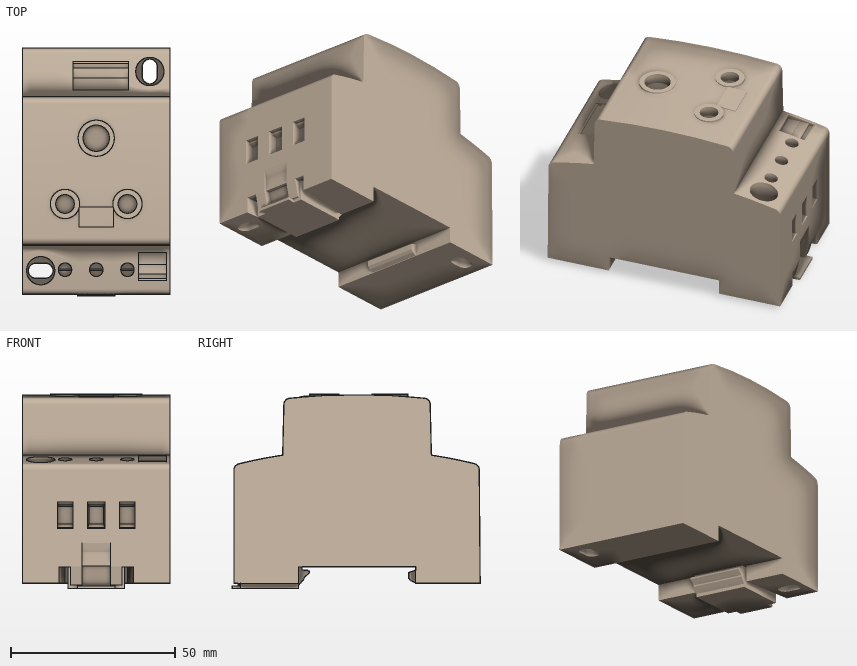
import cadquery as cq
import math

width = 45.0
front_y = -37.5
rear_y = 37.5
rear_draft = 0.3
shoulder_radius = 150.0
shoulder_crest_z = 40.75
cap_half_bottom = 22.66
cap_half_top = 22.25
cap_radius = 210.0
cap_crest_z = 57.35
edge_radius = 2.0

slot_half = 17.8
slot_height = 5.0
rear_hook_reach = 2.1

channel_half_front = 11.3
channel_half_inner = 9.46
clip_half_width = 8.66
clip_bottom = -1.6
clip_front_y = front_y + 2.0
tab_half_width = 5.75
tab_top = -0.75
tab_front_y = -37.98
wedge_half_width = 7.87
wedge_bottom = -0.5
wedge_bottom_setback = 1.35

notch_half_width = 4.4
notch_top = 12.2
notch_back_top = 9.5
notch_back_bottom = 5.3
notch_depth = 0.7
notch_undercut_depth = 2.2
notch_foot_depth = 3.65

ring_top = 57.55
socket_depth = 3.3
large_ring_radius = 5.5
large_socket_radius = 4.0
small_ring_radius = 4.45
small_socket_radius = 2.85
pitch = 9.5
ring_offset_y = 10.0
label_half_width = 5.24
label_rear_y = -10.9
label_front_y = -17.0
label_height = 0.2

screw_y = -30.0
screw_radius = 2.05
screw_head_z = 32.5
screw_slot_width = 0.5
screw_slot_depth = 0.6
window_bottom = 16.75
window_top = 24.75
window_depth = 1.6
funnel_bottom = 17.05
funnel_top = 24.2
funnel_back_bottom = 18.05
funnel_back_top = 23.4
funnel_depth = 1.4
side_window_width = 4.75
side_window_x = 9.4
middle_window_width = 5.2
middle_funnel_back_width = 4.5

mount_y = 30.3
front_mount_x = -16.9
rear_mount_x = 16.3
counterbore_radius = 4.3
counterbore_floor = 5.0
mount_slot_length = 7.5
mount_slot_width = 4.5

pocket_near = 24.7
pocket_step = 28.35
pocket_drop = 31.35
pocket_ledge = 32.7
pocket_far = 33.3
pocket_floor_z = 37.25
pocket_step_z = 37.1
pocket_drop_z = 36.3
pocket_ledge_z = 36.75
front_pocket_x = (12.83, 21.44)
rear_pocket_x = (-7.1, 9.75)

cut_clearance = 5.0
above_all = ring_top + cut_clearance


def arc_height(crest_z, radius, y):
    """Height at y of an arc whose crest is over the middle of the part."""
    return crest_z - radius + math.sqrt(radius**2 - y**2)


def shoulder_z(y):
    return arc_height(shoulder_crest_z, shoulder_radius, y)


def cap_z(y):
    return arc_height(cap_crest_z, cap_radius, y)


def extrude_x(outline, x_min, x_max):
    """Extrude a closed YZ outline between two X planes."""
    return outline.extrude(x_max - x_min).translate((x_min, 0, 0))


def polygon_x(points, x_min, x_max):
    return extrude_x(cq.Workplane("YZ").polyline(points).close(), x_min, x_max)


def box_between(x_range, y_range, z_range):
    size = [high - low for low, high in (x_range, y_range, z_range)]
    corner = (x_range[0], y_range[0], z_range[0])
    return cq.Workplane("XY").box(*size, centered=False).translate(corner)


def cylinder_z(x, y, radius, z_min, z_max):
    disc = cq.Workplane("XY", origin=(x, y, z_min)).circle(radius)
    return disc.extrude(z_max - z_min)


def make_housing():
    """Stepped DIN-rail housing with crowned shoulders and cap."""
    rear_top_y = rear_y - rear_draft
    front_mid_y = (front_y - cap_half_bottom) / 2
    rear_mid_y = (rear_top_y + cap_half_bottom) / 2
    outline = (
        cq.Workplane("YZ")
        .moveTo(front_y, 0)
        .lineTo(front_y, shoulder_z(front_y))
        .threePointArc(
            (front_mid_y, shoulder_z(front_mid_y)),
            (-cap_half_bottom, shoulder_z(cap_half_bottom)),
        )
        .lineTo(-cap_half_top, cap_z(cap_half_top))
        .threePointArc((0, cap_crest_z), (cap_half_top, cap_z(cap_half_top)))
        .lineTo(cap_half_bottom, shoulder_z(cap_half_bottom))
        .threePointArc(
            (rear_mid_y, shoulder_z(rear_mid_y)),
            (rear_top_y, shoulder_z(rear_top_y)),
        )
        .lineTo(rear_y, 0)
        .lineTo(slot_half, 0)
        .lineTo(slot_half, slot_height)
        .lineTo(-slot_half, slot_height)
        .lineTo(-slot_half, 0)
        .close()
    )
    body = extrude_x(outline, -width / 2, width / 2)
    rounded_corners = (
        (front_y, shoulder_z(front_y)),
        (-cap_half_top, cap_z(cap_half_top)),
        (cap_half_top, cap_z(cap_half_top)),
        (rear_top_y, shoulder_z(rear_top_y)),
    )
    for y, z in rounded_corners:
        body = body.edges(cq.NearestToPointSelector((0, y, z))).fillet(edge_radius)
    return body


def make_rear_hook():
    """Fixed rail hook on the rear wall of the slot."""
    tip_y = slot_half - rear_hook_reach
    root_bottom, root_top = 0.15, 4.05
    tip_bottom, tip_top = 1.55, 3.3
    bevel_length, bevel_bottom = 0.75, 0.75
    points = [
        (slot_half, root_bottom),
        (slot_half, root_top),
        (tip_y, tip_top),
        (tip_y, tip_bottom),
        (tip_y + bevel_length, bevel_bottom),
    ]
    return polygon_x(points, -clip_half_width, clip_half_width)


def cut_clip_channel(body):
    """Open the front foot with a channel that narrows toward the rail slot."""
    outline = [
        (-channel_half_front, front_y),
        (channel_half_front, front_y),
        (channel_half_inner, -slot_half),
        (-channel_half_inner, -slot_half),
    ]
    return body.cut(cq.Workplane("XY").polyline(outline).close().extrude(slot_height))


def make_clip():
    """Clip block with its rail hook, front wedge and pull tab."""
    neck_y = -16.7
    tip_y = -14.5
    step_y = -16.1
    neck_z = 4.1
    hook_top = 4.0
    nose_bevel, nose_top, nose_bottom = 0.6, 3.7, 3.2
    step_top, step_bottom = 1.7, 1.25
    ramp_bottom = -0.55
    hook_block = [
        (clip_front_y, clip_bottom),
        (clip_front_y, slot_height),
        (neck_y, slot_height),
        (neck_y, neck_z),
        (tip_y - nose_bevel, hook_top),
        (tip_y, nose_top),
        (tip_y, nose_bottom),
        (step_y, step_top),
        (step_y, step_bottom),
        (-slot_half, ramp_bottom),
        (-slot_half, clip_bottom),
    ]
    wedge = [
        (front_y, slot_height),
        (clip_front_y, slot_height),
        (clip_front_y, wedge_bottom),
        (front_y + wedge_bottom_setback, wedge_bottom),
    ]
    tab = box_between(
        (-tab_half_width, tab_half_width),
        (tab_front_y, front_y + notch_foot_depth),
        (clip_bottom, tab_top),
    )
    clip = polygon_x(hook_block, -clip_half_width, clip_half_width)
    clip = clip.union(polygon_x(wedge, -wedge_half_width, wedge_half_width))
    return clip.union(tab)


def make_finger_notch():
    """Tool for the finger notch, undercut at its foot down to the pull tab."""
    points = [
        (front_y, notch_top),
        (front_y + notch_depth, notch_back_top),
        (front_y + notch_depth, notch_back_bottom),
        (front_y + notch_undercut_depth, notch_back_bottom),
        (front_y + notch_foot_depth, tab_top),
        (front_y, tab_top),
    ]
    return polygon_x(points, -notch_half_width, notch_half_width)


def add_label(body):
    """Thin raised plate that follows the crown of the cap."""
    plate = box_between(
        (-label_half_width, label_half_width),
        (label_front_y, label_rear_y),
        (cap_z(cap_half_top), above_all),
    )
    crown = (
        cq.Workplane("YZ")
        .center(0, cap_crest_z - cap_radius)
        .circle(cap_radius + label_height)
        .extrude(width / 2, both=True)
    )
    return body.union(plate.intersect(crown))


def add_ringed_socket(body, x, y, ring_radius, socket_radius):
    ring = cylinder_z(x, y, ring_radius, cap_z(cap_half_top), ring_top)
    socket = cylinder_z(x, y, socket_radius, ring_top - socket_depth, above_all)
    return body.union(ring).cut(socket)


def cut_terminal_screw(body, x):
    """Screw bore that leaves a slotted screw head at its floor."""
    bore = cylinder_z(x, screw_y, screw_radius, screw_head_z, above_all)
    driver_slot = box_between(
        (x - screw_radius, x + screw_radius),
        (screw_y - screw_slot_width / 2, screw_y + screw_slot_width / 2),
        (screw_head_z - screw_slot_depth, screw_head_z),
    )
    head = cylinder_z(x, screw_y, screw_radius, screw_head_z - screw_slot_depth, screw_head_z)
    return body.cut(bore).cut(driver_slot.intersect(head))


def cut_wire_window(body, x, opening_width, back_width):
    """Straight window in the front wall that ends in a tapering funnel."""
    window = box_between(
        (x - opening_width / 2, x + opening_width / 2),
        (front_y, front_y + window_depth),
        (window_bottom, window_top),
    )
    funnel_mouth_z = (funnel_top + funnel_bottom) / 2
    funnel_back_z = (funnel_back_top + funnel_back_bottom) / 2
    funnel = (
        cq.Workplane("XZ", origin=(x, front_y + window_depth, funnel_mouth_z))
        .rect(opening_width, funnel_top - funnel_bottom)
        .workplane(offset=-funnel_depth)
        .center(0, funnel_back_z - funnel_mouth_z)
        .rect(back_width, funnel_back_top - funnel_back_bottom)
        .loft(ruled=True)
    )
    return body.cut(window).cut(funnel)


def cut_mounting_hole(body, x, y, slot_angle):
    counterbore = cylinder_z(x, y, counterbore_radius, counterbore_floor, shoulder_crest_z)
    slot = (
        cq.Workplane("XY", origin=(x, y, 0))
        .slot2D(mount_slot_length, mount_slot_width, slot_angle)
        .extrude(shoulder_crest_z)
    )
    return body.cut(counterbore).cut(slot)


def cut_stepped_pocket(body, x_range, side):
    """Pocket in a shoulder; side is -1 for the front one and 1 for the rear one."""
    profile = [
        (pocket_near, shoulder_crest_z),
        (pocket_near, pocket_floor_z),
        (pocket_step, pocket_floor_z),
        (pocket_step, pocket_step_z),
        (pocket_drop, pocket_step_z),
        (pocket_drop, pocket_drop_z),
        (pocket_ledge, pocket_drop_z),
        (pocket_ledge, pocket_ledge_z),
        (pocket_far, pocket_ledge_z),
        (pocket_far, shoulder_crest_z),
    ]
    return body.cut(polygon_x([(side * y, z) for y, z in profile], *x_range))


result = cut_clip_channel(make_housing())
result = result.union(make_rear_hook()).union(make_clip()).cut(make_finger_notch())

result = add_label(result)
result = add_ringed_socket(result, 0, ring_offset_y, large_ring_radius, large_socket_radius)
for ring_x in (-pitch, pitch):
    result = add_ringed_socket(result, ring_x, -ring_offset_y, small_ring_radius, small_socket_radius)

for terminal_x in (-pitch, 0, pitch):
    result = cut_terminal_screw(result, terminal_x)
for window_x in (-side_window_x, side_window_x):
    result = cut_wire_window(result, window_x, side_window_width, side_window_width)
result = cut_wire_window(result, 0, middle_window_width, middle_funnel_back_width)

result = cut_mounting_hole(result, front_mount_x, -mount_y, 0)
result = cut_mounting_hole(result, rear_mount_x, mount_y, 90)

result = cut_stepped_pocket(result, front_pocket_x, -1)
result = cut_stepped_pocket(result, rear_pocket_x, 1)